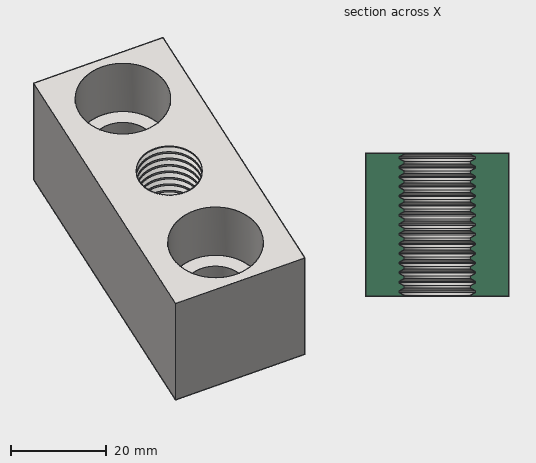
import cadquery as cq
import math

LENGTH = 69.0
WIDTH = 30.0
HEIGHT = 30.0

THREAD_MAJOR_DIAMETER = 16.0
THREAD_PITCH = 2.0
FLANK_ANGLE = 30.0
ROOT_WIDTH = THREAD_PITCH / 8
CREST_WIDTH = THREAD_PITCH / 4
MOUTH_WIDTH = THREAD_PITCH - CREST_WIDTH
GROOVE_DEPTH = (MOUTH_WIDTH - ROOT_WIDTH) / 2 / math.tan(math.radians(FLANK_ANGLE))
THREAD_MINOR_DIAMETER = THREAD_MAJOR_DIAMETER - 2 * GROOVE_DEPTH
GROOVE_COUNT = round(HEIGHT / THREAD_PITCH)

BOLT_SPACING = 45.0
BOLT_DIAMETER = THREAD_MINOR_DIAMETER
COUNTERBORE_DIAMETER = 20.0
COUNTERBORE_DEPTH = HEIGHT / 2


def make_block():
    """Plain rectangular block, centred on X and Y, standing on Z = 0."""
    return cq.Workplane("XY").box(LENGTH, WIDTH, HEIGHT, centered=(True, True, False))


def cut_bolt_holes(body):
    """Two through holes, counterbored from the top face."""
    return (
        body.faces(">Z")
        .workplane(origin=(0, 0, HEIGHT))
        .pushPoints([(-BOLT_SPACING / 2, 0), (BOLT_SPACING / 2, 0)])
        .cboreHole(BOLT_DIAMETER, COUNTERBORE_DIAMETER, COUNTERBORE_DEPTH)
    )


def make_thread_cutter():
    """Threaded hole as a solid of revolution: the minor bore with a V ridge for every turn."""
    minor_radius = THREAD_MINOR_DIAMETER / 2
    major_radius = THREAD_MAJOR_DIAMETER / 2
    profile = cq.Workplane("XZ").lineTo(minor_radius, 0)
    for turn in range(GROOVE_COUNT):
        middle = (turn + 0.5) * THREAD_PITCH
        profile = (
            profile.lineTo(minor_radius, middle - MOUTH_WIDTH / 2)
            .lineTo(major_radius, middle - ROOT_WIDTH / 2)
            .lineTo(major_radius, middle + ROOT_WIDTH / 2)
            .lineTo(minor_radius, middle + MOUTH_WIDTH / 2)
        )
    profile = profile.lineTo(minor_radius, HEIGHT).lineTo(0, HEIGHT).close()
    return profile.revolve(360, (0, 0, 0), (0, 1, 0))


body = cut_bolt_holes(make_block())
result = body.cut(make_thread_cutter())